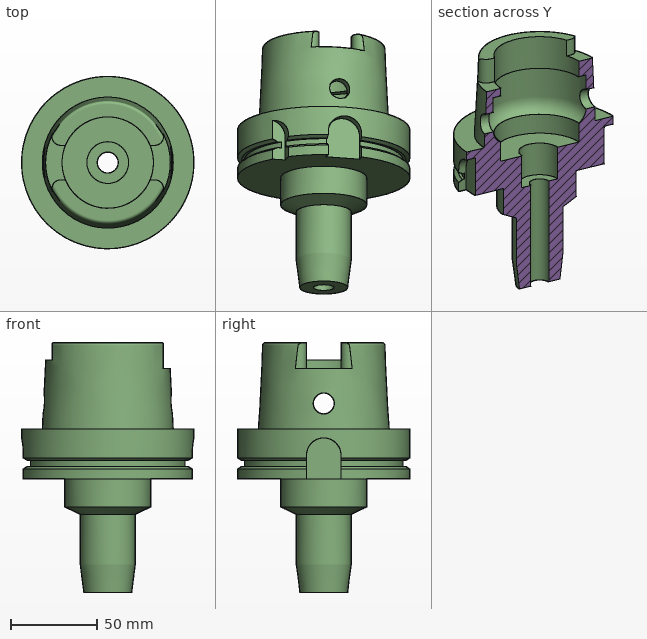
import cadquery as cq
import math


shank_height = 50.0
shank_base_radius = 38.0
shank_taper = 1 / 20
rim_fillet = 1.9
shank_top_radius = shank_base_radius - shank_taper * shank_height

tang_gap = 20.0
tang_half_span = 32.3
tang_corner_radius = 5.0
low_seat_z = 35.0
high_seat_z = 40.0

clamp_bore_radius = 26.5
clamp_recess_radius = 31.5
clamp_lip_z = 30.0
recess_curve_z = 9.6
recess_curve_radius = 10.0
clamp_floor_z = -11.0
cross_hole_diameter = 12.0
cross_hole_z = 14.7
counterbore_diameter = 24.2
counterbore_depth = 20.0
through_hole_diameter = 12.0

flange_radius = 50.0
flange_height = 29.0
groove_center_z = -20.1
groove_mouth = 6.5
groove_floor_width = 3.5
groove_radius = 46.0
groove_ledge_radius = 47.7

slot_width = 20.0
slot_top_z = -5.3
key_slot_floor = 44.0
notch_floor = 31.5
notch_center_y = 41.3

collar_radius = 25.0
collar_end_z = -45.3
neck_radius = 16.0
neck_start_z = -49.6
tip_start_z = -78.7
tip_radius = 13.9
tip_z = -95.0


def make_body():
    """Solid of revolution: shank, grooved flange, collar, neck and tip."""
    mouth_top = groove_center_z + groove_mouth / 2
    mouth_bottom = groove_center_z - groove_mouth / 2
    floor_top = groove_center_z + groove_floor_width / 2
    floor_bottom = groove_center_z - groove_floor_width / 2
    profile = [
        (0, shank_height),
        (shank_top_radius, shank_height),
        (shank_base_radius, 0),
        (flange_radius, 0),
        (flange_radius, mouth_top),
        (groove_ledge_radius, floor_top),
        (groove_radius, floor_top),
        (groove_radius, floor_bottom),
        (groove_ledge_radius, floor_bottom),
        (flange_radius, mouth_bottom),
        (flange_radius, -flange_height),
        (collar_radius, -flange_height),
        (collar_radius, collar_end_z),
        (neck_radius, neck_start_z),
        (neck_radius, tip_start_z),
        (tip_radius, tip_z),
        (0, tip_z),
    ]
    body = cq.Workplane("XZ").polyline(profile).close().revolve(360, (0, 0, 0), (0, 1, 0))
    return body.faces(">Z").edges().fillet(rim_fillet)


def clamp_cavity():
    """Cutter for the clamping bore, its recess curving back to bore radius, and the floor."""
    curve_center_radius = clamp_recess_radius - recess_curve_radius
    sweep = math.acos((clamp_bore_radius - curve_center_radius) / recess_curve_radius)
    curve_mid = (
        curve_center_radius + recess_curve_radius * math.cos(sweep / 2),
        recess_curve_z - recess_curve_radius * math.sin(sweep / 2),
    )
    curve_end = (clamp_bore_radius, recess_curve_z - recess_curve_radius * math.sin(sweep))
    return (
        cq.Workplane("XZ")
        .moveTo(0, shank_height)
        .lineTo(clamp_bore_radius, shank_height)
        .lineTo(clamp_bore_radius, clamp_lip_z)
        .lineTo(clamp_recess_radius, clamp_lip_z)
        .lineTo(clamp_recess_radius, recess_curve_z)
        .threePointArc(curve_mid, curve_end)
        .lineTo(clamp_bore_radius, clamp_floor_z)
        .lineTo(0, clamp_floor_z)
        .close()
        .revolve(360, (0, 0, 0), (0, 1, 0))
    )


def axial_hole(diameter, depth):
    """Cutter for a hole on the Z axis, sunk from the cavity floor."""
    return cq.Workplane("XY").workplane(offset=clamp_floor_z).circle(diameter / 2).extrude(-depth)


def cut_interior(body):
    """Clamping cavity, counterbore, through hole and cross hole."""
    body = body.cut(clamp_cavity())
    body = body.cut(axial_hole(counterbore_diameter, counterbore_depth))
    body = body.cut(axial_hole(through_hole_diameter, clamp_floor_z - tip_z))
    cross_hole = (
        cq.Workplane("YZ")
        .center(0, cross_hole_z)
        .circle(cross_hole_diameter / 2)
        .extrude(shank_base_radius, both=True)
    )
    return body.cut(cross_hole)


def tang_gap_cutter(side, seat_z):
    """Gap between the tangs on the side (+1 or -1) along X, flaring with round corners."""
    half_gap = tang_gap / 2
    corner_start = tang_half_span - tang_corner_radius
    corner_end = half_gap + tang_corner_radius
    corner_mid_x = tang_half_span - tang_corner_radius * (1 - math.sqrt(0.5))
    corner_mid_y = half_gap + tang_corner_radius * (1 - math.sqrt(0.5))
    outer_x = shank_base_radius
    outer_y = shank_base_radius
    return (
        cq.Workplane("XY")
        .workplane(offset=seat_z)
        .moveTo(0, -half_gap)
        .lineTo(side * corner_start, -half_gap)
        .threePointArc((side * corner_mid_x, -corner_mid_y), (side * tang_half_span, -corner_end))
        .lineTo(side * tang_half_span, -outer_y)
        .lineTo(side * outer_x, -outer_y)
        .lineTo(side * outer_x, outer_y)
        .lineTo(side * tang_half_span, outer_y)
        .lineTo(side * tang_half_span, corner_end)
        .threePointArc((side * corner_mid_x, corner_mid_y), (side * corner_start, half_gap))
        .lineTo(0, half_gap)
        .close()
        .extrude(shank_height - seat_z)
    )


def flange_slot_cutter(side, floor_distance, center_y):
    """Round-topped slot, open below, cut along X from outside down to a flat floor."""
    arc_center_z = slot_top_z - slot_width / 2
    left = center_y - slot_width / 2
    right = center_y + slot_width / 2
    return (
        cq.Workplane("YZ")
        .workplane(offset=side * floor_distance)
        .moveTo(left, -flange_height)
        .lineTo(left, arc_center_z)
        .threePointArc((center_y, slot_top_z), (right, arc_center_z))
        .lineTo(right, -flange_height)
        .close()
        .extrude(side * (flange_radius - floor_distance))
    )


result = cut_interior(make_body())
result = result.cut(tang_gap_cutter(1, low_seat_z))
result = result.cut(tang_gap_cutter(-1, high_seat_z))
for key_side in (1, -1):
    result = result.cut(flange_slot_cutter(key_side, key_slot_floor, 0))
result = result.cut(flange_slot_cutter(-1, notch_floor, notch_center_y))